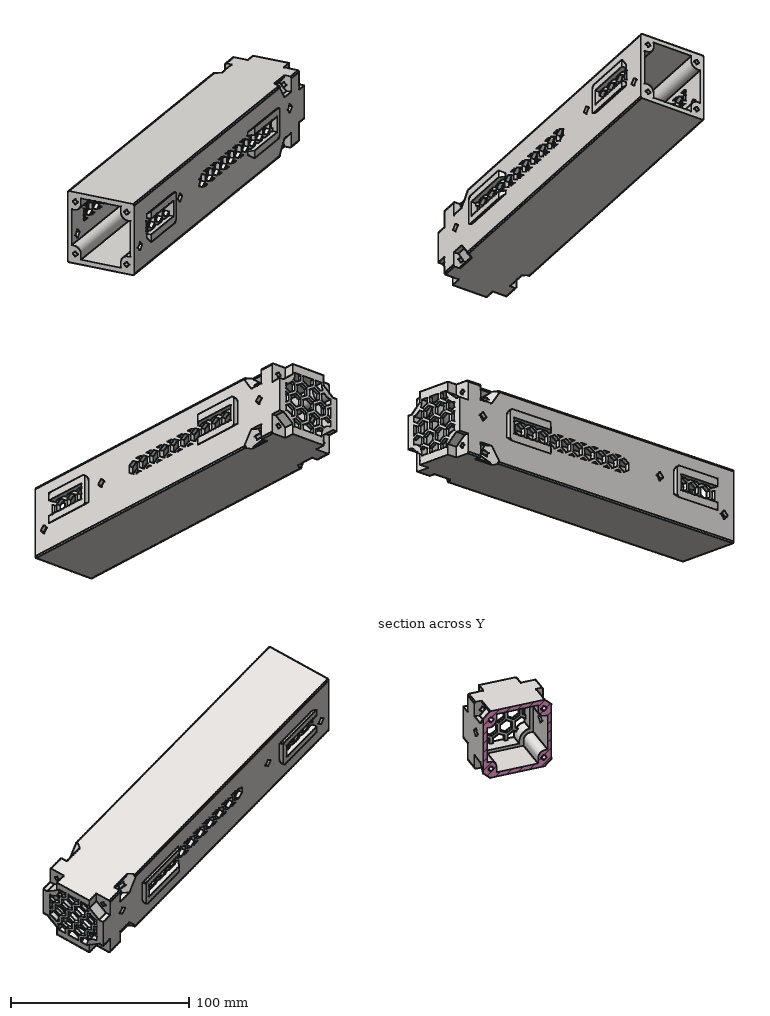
import cadquery as cq
import math

length = 213.3
overall_width = 47.5
body_height = 43.8
body_width = 41.8
edge_chamfer_width = 0.6
edge_chamfer_height = 1.0

side_wall = 2.6
top_wall = 3.1
column_width = 8.4
column_height = 10.9
column_radius = 4.4
frame_inset = 2.0
frame_column_growth = 2.6
frame_length = 8.0
grid_thickness = 2.0

hex_flats = 7.1
hex_web = 1.9
hex_pitch = hex_flats + hex_web
row_pitch = hex_pitch * math.sin(math.radians(60))
end_grid_reach = 3

rail_height_offset = 2.5
vent_height = 9.6
first_vent_hex = 37.9
rail_outer_height = 19.0
rail_projection = (overall_width - body_width) / 2
rail_flare = 2.4
rail_corner_chamfer = 1.2
vents = [(39.5, 131.5), (169.7, 198.3)]
long_rail = (36.7, 71.0)
short_rail = (166.5, 197.9)

cross_hole_diagonal = 5.27
cross_holes = [(18.2, 3.2), (155.8, 3.2), (205.9, -6.8)]

screw_x = 16.1
screw_z = 16.0
screw_hole_diagonal = 3.33
screw_tip_diagonal = 0.3
screw_hole_depth = 10.0

notch_length = 6.6
notch_width = 9.6
notch_height = 11.8
notch_floor_width = 2.8
notch_wall_height = 6.4

pocket_start = 16.3
pocket_length = 14.3
pocket_mouth_width = 4.4
pocket_back_height = 1.0
pocket_groove_width = 7.6
pocket_groove_height = 5.0
pocket_valley_width = 3.2
pocket_valley_height = 9.6
pocket_height = 9.2
slant_reach = 31.8
slant_fall_per_width = 0.7
slant_fall_per_height = 0.75
pocket_screw_length = 26.0

half_width = body_width / 2
half_height = body_height / 2
corner_signs = [(sx, sz) for sx in (-1, 1) for sz in (-1, 1)]


def y_at(distance):
    """Y of a place given by its distance from the honeycomb end."""
    return length - distance


def block(x0, x1, y0, y1, z0, z1):
    """Box between the given limits."""
    return cq.Workplane("XY").box(x1 - x0, y1 - y0, z1 - z0, centered=False).translate((x0, y0, z0))


def along_y(outline, y0, y1):
    """Prism along Y over a closed outline of (x, z) points."""
    return cq.Workplane("XZ", origin=(0, y0, 0)).polyline(outline).close().extrude(y0 - y1)


def corner_prism(sx, sz, offsets, y0, y1):
    """Prism along Y over an outline given as (inward from side, inward from top or bottom)."""
    outline = [(sx * (half_width - u), sz * (half_height - v)) for u, v in offsets]
    return along_y(outline, y0, y1)


def duct_hollow(inset, column_growth, y0, y1):
    """Rectangular hollow with a round-nosed column left standing in each corner."""
    half_x = half_width - side_wall - inset
    half_z = half_height - top_wall - inset
    hollow = block(-half_x, half_x, y0, y1, -half_z, half_z)
    width = column_width + column_growth
    height = column_height + column_growth
    gap_x = half_width - width
    gap_z = half_height - height
    column = block(gap_x, half_width, y0, y1, gap_z, half_height)
    column = column.edges("|Y and <X and <Z").fillet(column_radius + column_growth)
    for sx, sz in corner_signs:
        placed = column if sx > 0 else column.mirror("YZ")
        placed = placed if sz > 0 else placed.mirror("XY")
        hollow = hollow.cut(placed)
    return hollow


def hexagons(plane, centres, depth):
    """Hexagonal prisms with a corner pointing up, centred on the plane."""
    diameter = hex_flats / math.cos(math.radians(30))
    upright = plane.polygon(6, diameter).extrude(depth, both=True)
    upright = upright.rotate((0, 0, 0), plane.plane.zDir.toTuple(), 90).val()
    return cq.Workplane(cq.Compound.makeCompound([upright.translate(cq.Vector(*c)) for c in centres]))


def body():
    """Tube with chamfered long edges and the honeycomb plate closing its far end."""
    shell = block(-half_width, half_width, 0, length, -half_height, half_height)
    for sx, sz in corner_signs:
        bevel = [(0, 0), (edge_chamfer_width, 0), (0, edge_chamfer_height)]
        shell = shell.cut(corner_prism(sx, sz, bevel, 0, length))
    shell = shell.cut(duct_hollow(0, 0, 0, y_at(frame_length)))
    window = duct_hollow(frame_inset, frame_column_growth, y_at(frame_length), length)
    centres = [
        ((column + (row % 2) / 2) * hex_pitch, y_at(grid_thickness / 2), row * row_pitch)
        for row in range(-end_grid_reach, end_grid_reach + 1)
        for column in range(-end_grid_reach, end_grid_reach + 1)
    ]
    cells = hexagons(cq.Workplane("XZ"), centres, grid_thickness)
    behind_grid = block(-half_width, half_width, 0, y_at(grid_thickness), -half_height, half_height)
    return shell.cut(window.intersect(behind_grid)).cut(window.intersect(cells))


def rail(sign, start, end, sloped_end):
    """Dovetail rail on one side, wider away from the body, with its slot open toward Y = 0."""
    root = sign * half_width
    face = sign * overall_width / 2
    outer = rail_outer_height / 2
    inner = outer - rail_flare
    profile = [
        (root, rail_height_offset - inner),
        (face, rail_height_offset - outer),
        (face, rail_height_offset + outer),
        (root, rail_height_offset + inner),
    ]
    near, far = y_at(end), y_at(start)
    prism = along_y(profile, near, far)
    limits = [
        (near, rail_height_offset - outer),
        (far - rail_corner_chamfer, rail_height_offset - outer),
        (far, rail_height_offset - outer + rail_corner_chamfer),
        (far, rail_height_offset + outer - rail_corner_chamfer),
        (far - rail_corner_chamfer, rail_height_offset + outer),
        (near, rail_height_offset + outer),
    ]
    prism = prism.intersect(cq.Workplane("YZ").polyline(limits).close().extrude(overall_width, both=True))
    if sloped_end:
        wedge = [(root, near), (face, near), (face, near + rail_projection)]
        prism = prism.cut(cq.Workplane("XY").polyline(wedge).close().extrude(body_height, both=True))
    return prism


def vent_band(start, end, x0, x1):
    """Block covering a vent's length and height between two X limits."""
    half = vent_height / 2
    return block(x0, x1, y_at(end), y_at(start), rail_height_offset - half, rail_height_offset + half)


def vent_cells(start, end):
    """Honeycomb cells through both side walls, trimmed to the vent.

    The outer rows are half a pitch off the middle one and stop short of the vent's end.
    """
    centres = []
    for row in (-1, 0, 1):
        stagger = hex_pitch / 2 if row else 0
        last_centre = end if row else end + hex_pitch / 2
        z = rail_height_offset + row * row_pitch
        first_column = math.floor((start - first_vent_hex) / hex_pitch)
        last_column = math.floor((last_centre - first_vent_hex - stagger) / hex_pitch)
        for column in range(first_column, last_column + 1):
            centres.append((0, y_at(first_vent_hex + stagger + column * hex_pitch), z))
    cells = hexagons(cq.Workplane("YZ"), centres, overall_width)
    return vent_band(start, end, -overall_width, overall_width).intersect(cells)


def diamond(plane, centre, diagonal):
    """Square outline standing on a corner."""
    return plane.center(*centre).polygon(4, diagonal)


def notch(sx, sz):
    """Corner cut in the honeycomb end with a bevel between its floor and wall."""
    offsets = [
        (0, 0),
        (notch_width, 0),
        (notch_width, notch_wall_height),
        (notch_floor_width, notch_height),
        (0, notch_height),
    ]
    return corner_prism(sx, sz, offsets, y_at(notch_length), length)


def pocket(sx, sz):
    """Grooved corner pocket, cut off by a slanting plane toward the open end."""
    offsets = [
        (0, 0),
        (pocket_mouth_width, 0),
        (pocket_mouth_width, pocket_back_height),
        (pocket_groove_width, pocket_groove_height),
        (pocket_valley_width, pocket_valley_height),
        (0, pocket_height),
    ]
    cavity = corner_prism(sx, sz, offsets, y_at(pocket_start + pocket_length), y_at(pocket_start))
    slant_origin = (sx * half_width, y_at(slant_reach), sz * half_height)
    slant_normal = (-sx * slant_fall_per_width, -1, -sz * slant_fall_per_height)
    slant = cq.Workplane(cq.Plane(slant_origin, normal=slant_normal)).rect(length, length).extrude(length)
    return cavity.cut(slant)


def pocket_screw_hole(sx, sz):
    """Four-sided hole along Y joining the notch and the pocket and running on past the pocket."""
    plane = cq.Workplane("XZ", origin=(0, y_at(notch_length), 0))
    return diamond(plane, (sx * screw_x, sz * screw_z), screw_hole_diagonal).extrude(pocket_screw_length)


def end_screw_hole(sx, sz):
    """Four-sided pointed hole in the open end."""
    flank_shift = (screw_hole_diagonal - screw_tip_diagonal) / 2 * math.cos(math.radians(45))
    taper = math.degrees(math.atan(flank_shift / screw_hole_depth))
    hole = diamond(cq.Workplane("XZ"), (sx * screw_x, sz * screw_z), screw_hole_diagonal)
    return hole.extrude(-screw_hole_depth, taper=taper)


result = body()

for side in (-1, 1):
    result = result.union(rail(side, *long_rail, sloped_end=True))
    result = result.union(rail(side, *short_rail, sloped_end=False))

for start, end in vents:
    result = result.cut(vent_band(start, end, -overall_width, -half_width))
    result = result.cut(vent_band(start, end, half_width, overall_width))
    result = result.cut(vent_cells(start, end))

for distance, z in cross_holes:
    hole = diamond(cq.Workplane("YZ"), (y_at(distance), z), cross_hole_diagonal)
    result = result.cut(hole.extrude(overall_width, both=True))

for sx, sz in corner_signs:
    for corner_cut in (notch, pocket, pocket_screw_hole, end_screw_hole):
        result = result.cut(corner_cut(sx, sz))

result = result.solids()